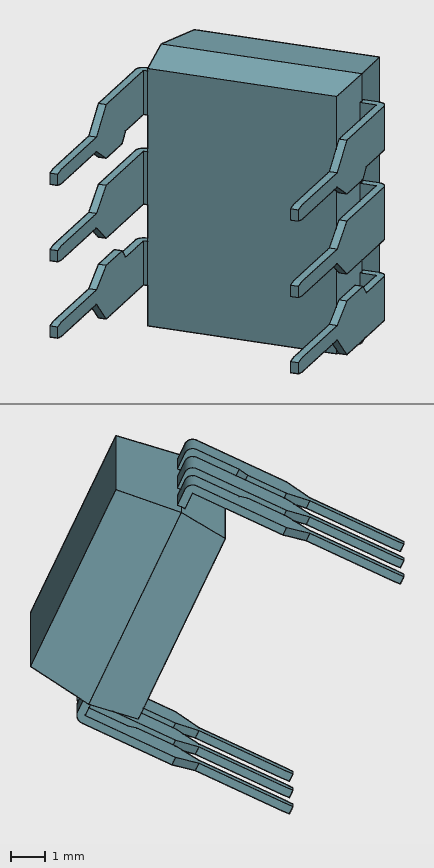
import cadquery as cq
import math


housing_width = 6.36
housing_length = 8.51
back_depth = 2.01
front_depth = 1.524
draft_angle = 7.0

overall_depth = 8.89
lead_span = 7.87
lead_thickness = 0.25
bend_radius = 0.26
lead_back = lead_thickness / 2

step_start = -front_depth
step_end = -1.8
neck_start = -3.06
neck_end = -3.82
tip_start = -6.6
tip_end = back_depth - overall_depth

middle_blade_width = 1.676
corner_blade_width = 1.702
corner_root_width = 1.397
corner_blade_pitch = 2.54
pin_pitch = 2.413
pin_width = 0.457
tip_width = 0.356


def housing_half(depth, side):
    """Drafted block from the parting plane towards side * Y."""
    inset = depth * math.tan(math.radians(draft_angle))
    return (
        cq.Workplane("XZ")
        .rect(housing_width, housing_length)
        .workplane(offset=-side * depth)
        .rect(housing_width - 2 * inset, housing_length - 2 * inset)
        .loft(ruled=True)
    )


def bent_strip():
    """L-shaped strip on the -X side, running inwards to the package centre."""
    outer_x = -lead_span / 2
    inner_x = outer_x + lead_thickness
    corner_x = outer_x + bend_radius
    corner_y = lead_back - bend_radius
    diagonal = bend_radius * math.sqrt(0.5)
    return (
        cq.Workplane("XY")
        .moveTo(0, lead_back)
        .lineTo(corner_x, lead_back)
        .threePointArc((corner_x - diagonal, corner_y + diagonal), (outer_x, corner_y))
        .lineTo(outer_x, tip_end)
        .lineTo(inner_x, tip_end)
        .lineTo(inner_x, -lead_back)
        .lineTo(0, -lead_back)
        .close()
        .extrude(housing_length / 2, both=True)
    )


def lead(upper_edge, lower_edge, pin_z):
    """Bent lead whose blade lies between two edges, each a list of (Y, Z) points from back to neck."""
    pin_upper = [
        (neck_end, pin_z + pin_width / 2),
        (tip_start, pin_z + pin_width / 2),
        (tip_end, pin_z + tip_width / 2),
    ]
    pin_lower = [(y, 2 * pin_z - z) for y, z in pin_upper]
    outline = upper_edge + pin_upper + pin_lower[::-1] + lower_edge[::-1]
    blank = cq.Workplane("YZ").polyline(outline).close().extrude(-lead_span)
    return bent_strip().intersect(blank)


def straight_edge(z):
    return [(lead_back, z), (neck_start, z)]


def middle_lead():
    half_width = middle_blade_width / 2
    return lead(straight_edge(half_width), straight_edge(-half_width), 0)


def corner_lead():
    """Upper lead, with a narrow root that steps out towards the middle lead."""
    upper_z = corner_blade_pitch + corner_blade_width / 2
    root_z = upper_z - corner_root_width
    blade_z = upper_z - corner_blade_width
    stepped_edge = [
        (lead_back, root_z),
        (step_start, root_z),
        (step_end, blade_z),
        (neck_start, blade_z),
    ]
    return lead(straight_edge(upper_z), stepped_edge, pin_pitch)


back_half = housing_half(back_depth, 1)
front_half = housing_half(front_depth, -1)

leads = []
for full_lead in (corner_lead(), middle_lead(), corner_lead().mirror("XY")):
    left_lead = full_lead.cut(back_half).cut(front_half)
    leads.append(left_lead.solids().val())
    leads.append(left_lead.mirror("YZ").solids().val())

result = cq.Compound.makeCompound([back_half.val(), front_half.val(), *leads])